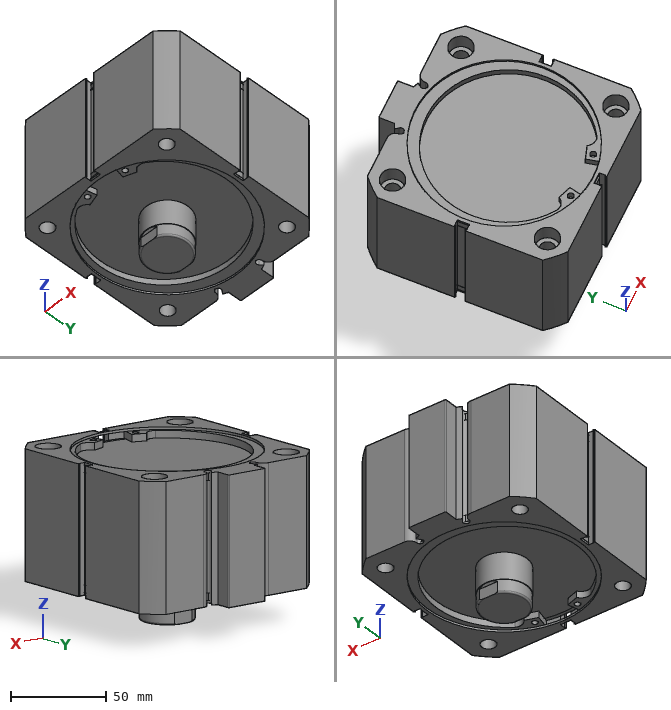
import cadquery as cq
import math

HOUSING_WIDTH = 115.0
HOUSING_HEIGHT = 71.5
CORNER_RADIUS = 74.5
BORE_RADIUS = 51.0
HALF_WIDTH = HOUSING_WIDTH / 2

BOLT_PITCH = 88.8
BOLT_HOLE_DIAMETER = 8.8
COUNTERBORE_DIAMETER = 13.8
COUNTERBORE_DEPTH = 10.5

SLOT_WIDTH = 6.8
SLOT_OPENING = 5.3
SLOT_MOUTH = 6.2
SLOT_DEPTH = 4.5
SLOT_LIP = 0.9
SLOT_BEVEL_DEPTH = 0.4

RAIL_WIDTH = 24.5
RAIL_HEIGHT = 9.0
RAIL_EDGE_RADIUS = 0.5
BARB_REACH = 15.4
BARB_DEPTH = 1.4
GROOVE_OFFSET = 15.3
GROOVE_DEPTH = 6.7
GROOVE_RADIUS = 2.0

RING_RADIUS = 53.2
RING_THICKNESS = 4.1
RING_INSET = 1.4
RING_INNER_RADIUS = 46.7
RING_INNER_OFFSET = 2.5
EAR_INNER_RADIUS = 43.4
EAR_START_ANGLE = 12.8
EAR_END_ANGLE = 23.7
EAR_RELIEF_RADIUS = 47.9
EAR_RELIEF_ANGLE = 27.2
EAR_BLEND_ANGLE = 32.4
EAR_HOLE_RADIUS = 47.0
EAR_HOLE_ANGLE = 17.4
EAR_HOLE_DIAMETER = 3.5
TOP_RING_TURN = -0.9
BOTTOM_RING_TURN = 0

HEAD_COVER_THICKNESS = 9.9
ROD_COVER_THICKNESS = 18.6
PISTON_THICKNESS = 16.1

ROD_DIAMETER = 30.0
ROD_REACH = 20.0
TIP_LENGTH = 8.3
TIP_DIAMETER = 29.5
TIP_FILLET = 1.0
FLAT_WIDTH = 27.0
FLAT_RUNOUT = 1.1

BOTTOM_RING_Z = RING_INSET
TOP_RING_Z = HOUSING_HEIGHT - RING_INSET - RING_THICKNESS
ROD_COVER_Z = BOTTOM_RING_Z + RING_THICKNESS
HEAD_COVER_Z = TOP_RING_Z - HEAD_COVER_THICKNESS
PISTON_Z = HEAD_COVER_Z - PISTON_THICKNESS


def polar(radius, angle):
    """Point at a radius and at an angle in degrees, counted from -Y towards +X."""
    turn = math.radians(angle)
    return (radius * math.sin(turn), -radius * math.cos(turn))


def cylinder(radius, height, z):
    return cq.Workplane("XY").workplane(offset=z).circle(radius).extrude(height)


def sensor_slot():
    """Cutter for the slot in the -Y face: a bevelled mouth, two lips and a wider channel."""
    face_y = -HALF_WIDTH
    half_outline = [
        (SLOT_MOUTH / 2, face_y),
        (SLOT_OPENING / 2, face_y + SLOT_BEVEL_DEPTH),
        (SLOT_OPENING / 2, face_y + SLOT_LIP),
        (SLOT_WIDTH / 2, face_y + SLOT_LIP),
        (SLOT_WIDTH / 2, face_y + SLOT_DEPTH),
    ]
    mirrored = [(-x, y) for x, y in reversed(half_outline)]
    return cq.Workplane("XY").polyline(half_outline + mirrored).close().extrude(HOUSING_HEIGHT)


def rail_groove():
    """Cutter for the groove on the +X side of the rail, under the barb."""
    center_y = HALF_WIDTH - GROOVE_DEPTH + GROOVE_RADIUS
    round_radius = HALF_WIDTH - center_y
    wall_x = GROOVE_OFFSET + GROOVE_RADIUS
    round_x = wall_x + round_radius
    diagonal = math.sqrt(0.5)
    bottom = (GROOVE_OFFSET, center_y - GROOVE_RADIUS)
    neck = (GROOVE_OFFSET - GROOVE_RADIUS * diagonal, center_y + GROOVE_RADIUS * diagonal)
    return (
        cq.Workplane("XY")
        .moveTo(RAIL_WIDTH / 2, HALF_WIDTH)
        .lineTo(BARB_REACH, HALF_WIDTH - BARB_DEPTH)
        .lineTo(*neck)
        .threePointArc((GROOVE_OFFSET - GROOVE_RADIUS, center_y), bottom)
        .threePointArc(
            (GROOVE_OFFSET + GROOVE_RADIUS * diagonal, center_y - GROOVE_RADIUS * diagonal),
            (wall_x, center_y),
        )
        .threePointArc(
            (round_x - round_radius * diagonal, center_y + round_radius * diagonal),
            (round_x, HALF_WIDTH),
        )
        .close()
        .extrude(HOUSING_HEIGHT)
    )


def make_housing():
    body = cq.Workplane("XY").rect(HOUSING_WIDTH, HOUSING_WIDTH).extrude(HOUSING_HEIGHT)
    body = body.intersect(cylinder(CORNER_RADIUS, HOUSING_HEIGHT, 0))

    rail_base_y = BORE_RADIUS
    rail_top_y = HALF_WIDTH + RAIL_HEIGHT
    rail = (
        cq.Workplane("XY")
        .rect(RAIL_WIDTH, rail_top_y - rail_base_y)
        .extrude(HOUSING_HEIGHT)
        .translate((0, (rail_base_y + rail_top_y) / 2, 0))
        .edges("|Z and >Y")
        .fillet(RAIL_EDGE_RADIUS)
    )
    body = body.union(rail)
    groove = rail_groove()
    body = body.cut(groove).cut(groove.mirror("YZ"))

    for angle in (-90, 0, 90):
        body = body.cut(sensor_slot().rotate((0, 0, 0), (0, 0, 1), angle))

    body = body.cut(cylinder(BORE_RADIUS, HOUSING_HEIGHT, 0))
    for ring_z in (BOTTOM_RING_Z, TOP_RING_Z):
        body = body.cut(cylinder(RING_RADIUS, RING_THICKNESS, ring_z))

    return (
        body.faces(">Z")
        .workplane(origin=(0, 0, HOUSING_HEIGHT))
        .rect(BOLT_PITCH, BOLT_PITCH, forConstruction=True)
        .vertices()
        .cboreHole(BOLT_HOLE_DIAMETER, COUNTERBORE_DIAMETER, COUNTERBORE_DEPTH)
    )


def make_retaining_ring(z, turn):
    """Internal snap ring, open towards -Y, with a drilled ear on each side of the gap."""

    def blend_point(side):
        x, y = polar(RING_INNER_RADIUS, side * EAR_BLEND_ANGLE)
        return (x, y - RING_INNER_OFFSET)

    ring = (
        cq.Workplane("XY")
        .moveTo(*polar(RING_RADIUS, EAR_START_ANGLE))
        .threePointArc((0, RING_RADIUS), polar(RING_RADIUS, -EAR_START_ANGLE))
        .lineTo(*polar(EAR_INNER_RADIUS, -EAR_START_ANGLE))
        .lineTo(*polar(EAR_INNER_RADIUS, -EAR_END_ANGLE))
        .threePointArc(polar(EAR_RELIEF_RADIUS, -EAR_RELIEF_ANGLE), blend_point(-1))
        .threePointArc((0, RING_INNER_RADIUS - RING_INNER_OFFSET), blend_point(1))
        .threePointArc(polar(EAR_RELIEF_RADIUS, EAR_RELIEF_ANGLE), polar(EAR_INNER_RADIUS, EAR_END_ANGLE))
        .lineTo(*polar(EAR_INNER_RADIUS, EAR_START_ANGLE))
        .close()
        .extrude(RING_THICKNESS)
    )
    hole_points = [polar(EAR_HOLE_RADIUS, side * EAR_HOLE_ANGLE) for side in (-1, 1)]
    holes = cq.Workplane("XY").pushPoints(hole_points).circle(EAR_HOLE_DIAMETER / 2).extrude(RING_THICKNESS)
    return ring.cut(holes).rotate((0, 0, 0), (0, 0, 1), turn).translate((0, 0, z))


def make_head_cover():
    return cylinder(BORE_RADIUS, HEAD_COVER_THICKNESS, HEAD_COVER_Z)


def make_rod_cover():
    cover = cylinder(BORE_RADIUS, ROD_COVER_THICKNESS, ROD_COVER_Z)
    return cover.cut(cylinder(ROD_DIAMETER / 2, ROD_COVER_THICKNESS, ROD_COVER_Z))


def make_piston_rod():
    """Piston and rod in one piece; the tip is stepped, rounded and has two wrench flats."""
    end_z = -ROD_REACH
    shoulder_z = end_z + TIP_LENGTH
    rod_radius = ROD_DIAMETER / 2
    piston = cylinder(BORE_RADIUS, PISTON_THICKNESS, PISTON_Z)
    rod = cylinder(rod_radius, PISTON_Z - shoulder_z, shoulder_z)
    tip = cylinder(TIP_DIAMETER / 2, TIP_LENGTH, end_z).faces("<Z").edges().fillet(TIP_FILLET)

    flat_y = FLAT_WIDTH / 2
    flat_cut = (
        cq.Workplane("YZ")
        .polyline([
            (flat_y, end_z),
            (flat_y, shoulder_z - FLAT_RUNOUT),
            (flat_y + FLAT_RUNOUT, shoulder_z),
            (rod_radius, shoulder_z),
            (rod_radius, end_z),
        ])
        .close()
        .extrude(rod_radius, both=True)
    )
    tip = tip.cut(flat_cut).cut(flat_cut.mirror("XZ"))
    return piston.union(rod).union(tip)


housing = make_housing()
retaining_rings = [
    make_retaining_ring(BOTTOM_RING_Z, BOTTOM_RING_TURN),
    make_retaining_ring(TOP_RING_Z, TOP_RING_TURN),
]
head_cover = make_head_cover()
rod_cover = make_rod_cover()
piston_rod = make_piston_rod()

result = cq.Compound.makeCompound([
    housing.val(),
    *[ring.val() for ring in retaining_rings],
    head_cover.val(),
    rod_cover.val(),
    piston_rod.val(),
])